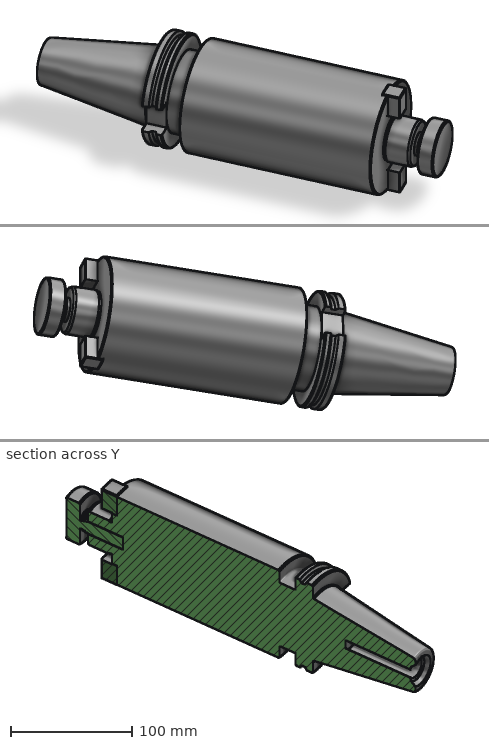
import cadquery as cq

gauge_diameter = 69.8
taper_ratio = 7 / 24
taper_length = 101.7
shank_tip_radius = 2.5

socket_mouth_diameter = 28.0
socket_diameter = 26.5
seat_diameter = 22.0
seat_depth = 4.2
bore_diameter = 17.5
bore_lead_in = 1.0
bore_depth = 70.0

land_diameter = 71.0
land_length = 1.0
flange_end = 120.5
flange_chamfer = 1.0
groove_center = 112.5
groove_mouth_width = 7.0
groove_floor_width = 3.0
groove_depth = 2.8
drive_slot_width = 25.5
front_slot_floor = 35.5
back_slot_floor = 37.5

neck_diameter = 71.2
neck_fillet = 1.0
body_diameter = 97.0
body_start = 136.5
body_end = 305.0
body_chamfer = 1.0

spigot_diameter = 40.0
spigot_end = 329.0
spigot_chamfer_length = 2.0
spigot_chamfer_depth = 1.0
undercut_diameter = 38.2
undercut_width = 2.0

key_side = 15.8
key_start = 299.8
key_inner_height = 27.7
key_chamfer = 0.7
key_angles = (0, 180)

screw_diameter = 20.0
screw_depth = 35.0
screw_thread_end = 332.5
screw_thread_chamfer = 0.7
screw_neck_diameter = 19.0
relief_diameter = 18.2
relief_start = 334.0
head_diameter = 48.0
head_start = 336.5
head_end = 350.5
head_chamfer = 1.0

tip_diameter = gauge_diameter - taper_length * taper_ratio
flange_start = taper_length + land_length
body_radius = body_diameter / 2
screw_start = spigot_end - screw_depth


def revolve_about_x(points):
    """Turn a closed (x, radius) outline about the X axis."""
    return cq.Workplane("XY").polyline(points).close().revolve(360, (0, 0, 0), (1, 0, 0))


def cylinder_along_x(diameter, start, end):
    return cq.Workplane("YZ").workplane(offset=start).circle(diameter / 2).extrude(end - start)


def make_shank():
    shank = revolve_about_x([
        (0, 0),
        (0, tip_diameter / 2),
        (taper_length, gauge_diameter / 2),
        (taper_length, 0),
    ])
    return shank.faces("<X").edges().fillet(shank_tip_radius)


def make_pull_stud_socket():
    mouth_chamfer = (socket_mouth_diameter - socket_diameter) / 2
    return revolve_about_x([
        (0, 0),
        (0, socket_mouth_diameter / 2),
        (mouth_chamfer, socket_diameter / 2),
        (seat_depth, seat_diameter / 2),
        (seat_depth + bore_lead_in, bore_diameter / 2),
        (bore_depth, bore_diameter / 2),
        (bore_depth, 0),
    ])


def make_drive_slot(floor, side):
    """Cutter for a flange slot; side is -1 for -Y and +1 for +Y."""
    depth = body_radius - floor
    slot = cq.Workplane("XY").box(flange_end - flange_start, depth, drive_slot_width)
    return slot.translate(((flange_start + flange_end) / 2, side * (floor + depth / 2), 0))


def make_flange():
    flange = cylinder_along_x(body_diameter, flange_start, flange_end)
    flange = flange.faces("<X or >X").edges().chamfer(flange_chamfer)
    floor_radius = body_radius - groove_depth
    groove = revolve_about_x([
        (groove_center - groove_mouth_width / 2, body_radius),
        (groove_center - groove_floor_width / 2, floor_radius),
        (groove_center + groove_floor_width / 2, floor_radius),
        (groove_center + groove_mouth_width / 2, body_radius),
    ])
    flange = flange.cut(groove)
    flange = flange.cut(make_drive_slot(front_slot_floor, -1))
    return flange.cut(make_drive_slot(back_slot_floor, 1))


def make_body():
    body = cylinder_along_x(body_diameter, body_start, body_end)
    return body.faces("<X or >X").edges().chamfer(body_chamfer)


def make_neck():
    neck = cylinder_along_x(neck_diameter, flange_end, body_start)
    radius = neck_diameter / 2
    corner = cq.Workplane("XY").moveTo(body_start - neck_fillet, radius)
    corner = corner.radiusArc((body_start, radius + neck_fillet), -neck_fillet)
    corner = corner.lineTo(body_start, 0).lineTo(body_start - neck_fillet, 0).close()
    return neck.union(corner.revolve(360, (0, 0, 0), (1, 0, 0)))


def make_spigot():
    spigot = cylinder_along_x(spigot_diameter, body_end + undercut_width, spigot_end)
    spigot = spigot.faces(">X").edges().chamfer(spigot_chamfer_length, spigot_chamfer_depth)
    return spigot.union(cylinder_along_x(undercut_diameter, body_end, body_end + undercut_width))


def make_key_blank():
    """Square block on the +Z side, the plain shape of a key and of its seat."""
    height = body_radius - key_inner_height
    block = cq.Workplane("XY").box(key_side, key_side, height)
    return block.translate((key_start + key_side / 2, 0, key_inner_height + height / 2))


def make_key():
    key = make_key_blank()
    return key.edges(">Z or (|Z and >X)").chamfer(key_chamfer)


def turn_about_x(part, angle):
    return part.rotate((0, 0, 0), (1, 0, 0), angle)


def make_screw():
    thread = cylinder_along_x(screw_diameter, screw_start, screw_thread_end)
    thread = thread.faces(">X").edges().chamfer(screw_thread_chamfer)
    neck = cylinder_along_x(screw_neck_diameter, screw_thread_end, relief_start)
    relief = cylinder_along_x(relief_diameter, relief_start, head_start)
    head = cylinder_along_x(head_diameter, head_start, head_end)
    head = head.faces("<X or >X").edges().chamfer(head_chamfer)
    return thread.union(neck).union(relief).union(head)


def make_holder():
    holder = make_shank()
    holder = holder.union(cylinder_along_x(land_diameter, taper_length, flange_start))
    holder = holder.union(make_flange())
    holder = holder.union(make_neck())
    holder = holder.union(make_body()).union(make_spigot())
    holder = holder.cut(make_pull_stud_socket())
    holder = holder.cut(cylinder_along_x(screw_diameter, screw_start, spigot_end))
    for angle in key_angles:
        holder = holder.cut(turn_about_x(make_key_blank(), angle))
    return holder


holder = make_holder()
keys = [turn_about_x(make_key(), angle) for angle in key_angles]
screw = make_screw()

result = cq.Compound.makeCompound([holder.val(), *[key.val() for key in keys], screw.val()])